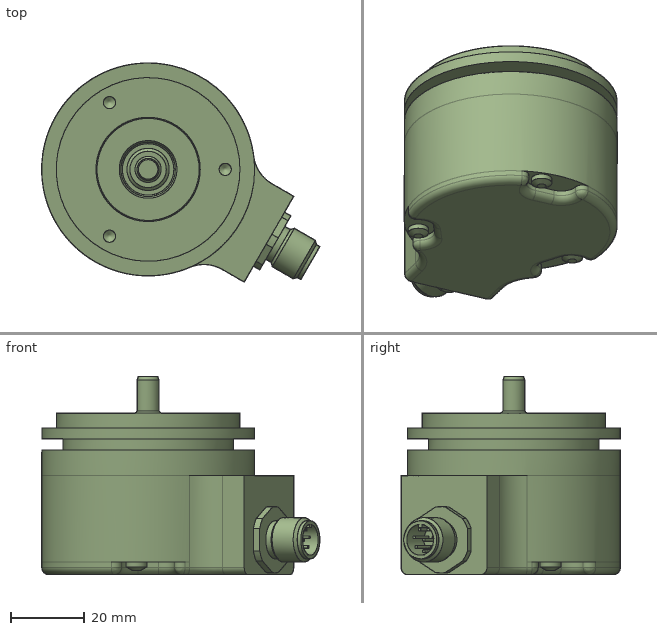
import cadquery as cq
import math

HOUSING_RADIUS = 29.0
HOUSING_TOP = 34.0
BOTTOM_FILLET = 2.0

GROOVE_RADIUS = 23.25
RIM_BOTTOM = 37.0
RIM_TOP = 40.0
COLLAR_RADIUS = 25.0
COLLAR_TOP = 44.0

HOLE_COUNT = 3
HOLE_CIRCLE_RADIUS = 21.0
HOLE_DIAMETER = 3.3
HOLE_DEPTH = 8.0
DRILL_TIP_ANGLE = 118.0

RING_GROOVE_OUTER_RADIUS = 14.2
RING_GROOVE_INNER_RADIUS = 13.9
RING_GROOVE_DEPTH = 0.3

RECESS_MOUTH_RADIUS = 7.85
RECESS_WALL_RADIUS = 7.4
RECESS_WALL_DEPTH = 0.9
RECESS_FLOOR_RADIUS = 7.0
RECESS_DEPTH = 1.2
BOSS_BASE_RADIUS = 5.75
BOSS_TOP_RADIUS = 4.95
BOSS_STEP_HEIGHT = 0.4

SHAFT_RADIUS = 3.0
SHAFT_TOP = 54.0
SHAFT_CHAMFER_WIDTH = 0.35
SHAFT_CHAMFER_HEIGHT = 1.0
SHAFT_FOOT_RADIUS = 3.55
SHAFT_FOOT_HEIGHT = 0.55

BLOCK_ANGLE = -30.0
BLOCK_REACH = 38.0
BLOCK_WIDTH = 27.0
BLOCK_TOP = 27.0
BLOCK_BLEND_RADIUS = 10.0

CONNECTOR_Z = 9.5
NUT_ACROSS_FLATS = 17.0
NUT_CORNER_DIAMETER = 18.1
NUT_END = 40.0
NECK_END = 41.7
SHELL_END = 49.9
TIP_END = 51.0
NECK_RADIUS = 5.2
SHELL_RADIUS = 6.05
SHELL_CHAMFER = 0.8
SOCKET_RADIUS = 4.2
SOCKET_FLOOR = NECK_END
KEY_WIDTH = 1.1
KEY_HEIGHT = 0.9
PIN_RADIUS = 0.4
PIN_CIRCLE_RADIUS = 3.1
PIN_CIRCLE_COUNT = 7
PIN_END = 49.0

POCKET_ANGLES = (-90.0, 30.0, 150.0)
POCKET_HEIGHT = 3.4
POCKET_BACK_RADIUS = 21.0
POCKET_HALF_WIDTH = 7.2
POCKET_CORNER_RADIUS = 4.4
POCKET_MOUTH_RADIUS = 2.1

SCREW_RADIAL_POSITION = 25.4
SCREW_SIDE_OFFSET = -3.15
SCREW_HEAD_RADIUS = 2.8
SCREW_RIM_Z = 2.1
SCREW_FACE_RADIUS = 1.2
SCREW_FACE_Z = 1.2
SCREW_TIP_RADIUS = 1.0
SCREW_TIP_DEPTH = 0.2


def cylinder(radius, bottom, top):
    """Upright cylinder on the Z axis."""
    return cq.Workplane("XY").workplane(offset=bottom).circle(radius).extrude(top - bottom)


def axial_cylinder(radius, start, end):
    """Cylinder along +X at the connector height."""
    return (
        cq.Workplane("YZ", origin=(start, 0, CONNECTOR_Z))
        .circle(radius)
        .extrude(end - start)
    )


def about_z(shape, angle):
    return shape.rotate((0, 0, 0), (0, 0, 1), angle)


def make_block(top):
    """Block along +X whose flanks run into the housing wall through tangent arcs."""
    half_width = BLOCK_WIDTH / 2
    blend_center_y = half_width + BLOCK_BLEND_RADIUS
    blend_center_distance = HOUSING_RADIUS + BLOCK_BLEND_RADIUS
    tangent_angle = math.asin(blend_center_y / blend_center_distance)
    blend_center_x = blend_center_distance * math.cos(tangent_angle)
    wall_x = HOUSING_RADIUS * math.cos(tangent_angle)
    wall_y = HOUSING_RADIUS * math.sin(tangent_angle)
    mid_angle = (tangent_angle + math.pi / 2) / 2
    mid_x = blend_center_x - BLOCK_BLEND_RADIUS * math.cos(mid_angle)
    mid_y = blend_center_y - BLOCK_BLEND_RADIUS * math.sin(mid_angle)
    return (
        cq.Workplane("XY")
        .moveTo(wall_x, wall_y)
        .threePointArc((mid_x, mid_y), (blend_center_x, half_width))
        .lineTo(BLOCK_REACH, half_width)
        .lineTo(BLOCK_REACH, -half_width)
        .lineTo(blend_center_x, -half_width)
        .threePointArc((mid_x, -mid_y), (wall_x, -wall_y))
        .threePointArc((-HOUSING_RADIUS, 0), (wall_x, wall_y))
        .close()
        .extrude(top)
    )


def make_pocket():
    """Pocket cutter opening towards +X, with rounded back corners."""
    length = HOUSING_RADIUS - POCKET_BACK_RADIUS + POCKET_CORNER_RADIUS
    return (
        cq.Workplane("XY")
        .box(length, 2 * POCKET_HALF_WIDTH, POCKET_HEIGHT, centered=(False, True, False))
        .edges("|Z and <X")
        .fillet(POCKET_CORNER_RADIUS)
        .translate((POCKET_BACK_RADIUS, 0, 0))
    )


def make_screw():
    """Screw head hanging from the pocket ceiling, domed as a cone towards its face."""
    return (
        cq.Workplane("XZ")
        .moveTo(0, POCKET_HEIGHT)
        .lineTo(SCREW_HEAD_RADIUS, POCKET_HEIGHT)
        .lineTo(SCREW_HEAD_RADIUS, SCREW_RIM_Z)
        .lineTo(SCREW_FACE_RADIUS, SCREW_FACE_Z)
        .lineTo(0, SCREW_FACE_Z)
        .close()
        .revolve(360, (0, 0, 0), (0, 1, 0))
        .translate((SCREW_RADIAL_POSITION, SCREW_SIDE_OFFSET, 0))
    )


def make_lower_housing():
    """Slab of the housing up to the pocket ceiling, with pockets and rounded bottom edges."""
    slab = make_block(POCKET_HEIGHT)
    for angle in POCKET_ANGLES:
        slab = slab.cut(about_z(make_pocket(), angle - BLOCK_ANGLE))
    mouth_half_angle = math.asin(POCKET_HALF_WIDTH / HOUSING_RADIUS)
    for angle in POCKET_ANGLES:
        for side in (-1, 1):
            mouth_angle = math.radians(angle - BLOCK_ANGLE) + side * mouth_half_angle
            mouth_corner = (
                HOUSING_RADIUS * math.cos(mouth_angle),
                HOUSING_RADIUS * math.sin(mouth_angle),
                POCKET_HEIGHT / 2,
            )
            slab = slab.edges(cq.selectors.NearestToPointSelector(mouth_corner)).fillet(POCKET_MOUTH_RADIUS)
    slab = slab.faces("<Z").edges("not >X").fillet(BOTTOM_FILLET)
    return about_z(slab, BLOCK_ANGLE)


def make_housing():
    upper_block = about_z(make_block(BLOCK_TOP), BLOCK_ANGLE).cut(
        cylinder(2 * BLOCK_REACH, 0, POCKET_HEIGHT)
    )
    return (
        make_lower_housing()
        .union(upper_block)
        .union(cylinder(HOUSING_RADIUS, POCKET_HEIGHT, HOUSING_TOP))
    )


def make_screw_tip_recess():
    """Shallow round recess in the groove's lower ledge, in line with a cover screw."""
    return cylinder(SCREW_TIP_RADIUS, HOUSING_TOP - SCREW_TIP_DEPTH, HOUSING_TOP).translate(
        (SCREW_RADIAL_POSITION, SCREW_SIDE_OFFSET, 0)
    )


def make_flange():
    flange = (
        cylinder(GROOVE_RADIUS, HOUSING_TOP, RIM_BOTTOM)
        .union(cylinder(HOUSING_RADIUS, RIM_BOTTOM, RIM_TOP))
        .union(cylinder(COLLAR_RADIUS, RIM_TOP, COLLAR_TOP))
    )
    ring = cylinder(RING_GROOVE_OUTER_RADIUS, COLLAR_TOP - RING_GROOVE_DEPTH, COLLAR_TOP).cut(
        cylinder(RING_GROOVE_INNER_RADIUS, COLLAR_TOP - RING_GROOVE_DEPTH, COLLAR_TOP)
    )
    flange = flange.cut(ring)
    tip_height = HOLE_DIAMETER / 2 / math.tan(math.radians(DRILL_TIP_ANGLE / 2))
    hole = (
        cq.Workplane("XZ")
        .moveTo(0, COLLAR_TOP)
        .lineTo(HOLE_DIAMETER / 2, COLLAR_TOP)
        .lineTo(HOLE_DIAMETER / 2, COLLAR_TOP - HOLE_DEPTH)
        .lineTo(0, COLLAR_TOP - HOLE_DEPTH - tip_height)
        .close()
        .revolve(360, (0, 0, 0), (0, 1, 0))
        .translate((HOLE_CIRCLE_RADIUS, 0, 0))
    )
    for index in range(HOLE_COUNT):
        flange = flange.cut(about_z(hole, index * 360 / HOLE_COUNT))
    return flange


def make_recess():
    """Ring-shaped cutter between the bored recess wall and the tapered seal boss."""
    floor_z = COLLAR_TOP - RECESS_DEPTH
    return (
        cq.Workplane("XZ")
        .moveTo(BOSS_TOP_RADIUS, COLLAR_TOP)
        .lineTo(BOSS_TOP_RADIUS, COLLAR_TOP - BOSS_STEP_HEIGHT)
        .lineTo(BOSS_BASE_RADIUS, floor_z)
        .lineTo(RECESS_FLOOR_RADIUS, floor_z)
        .lineTo(RECESS_WALL_RADIUS, COLLAR_TOP - RECESS_WALL_DEPTH)
        .lineTo(RECESS_MOUTH_RADIUS, COLLAR_TOP)
        .close()
        .revolve(360, (0, 0, 0), (0, 1, 0))
    )


def make_shaft():
    return (
        cq.Workplane("XZ")
        .moveTo(0, COLLAR_TOP)
        .lineTo(SHAFT_FOOT_RADIUS, COLLAR_TOP)
        .lineTo(SHAFT_RADIUS, COLLAR_TOP + SHAFT_FOOT_HEIGHT)
        .lineTo(SHAFT_RADIUS, SHAFT_TOP - SHAFT_CHAMFER_HEIGHT)
        .lineTo(SHAFT_RADIUS - SHAFT_CHAMFER_WIDTH, SHAFT_TOP)
        .lineTo(0, SHAFT_TOP)
        .close()
        .revolve(360, (0, 0, 0), (0, 1, 0))
    )


def make_connector():
    """Eight-pin plug connector pointing along +X."""
    nut_corner_to_corner = NUT_ACROSS_FLATS / math.cos(math.pi / 6)
    nut = (
        cq.Workplane("YZ", origin=(BLOCK_REACH, 0, CONNECTOR_Z))
        .transformed(rotate=(0, 0, 90))
        .polygon(6, nut_corner_to_corner)
        .extrude(NUT_END - BLOCK_REACH)
        .intersect(axial_cylinder(NUT_CORNER_DIAMETER / 2, BLOCK_REACH, NUT_END))
    )
    shell = axial_cylinder(SHELL_RADIUS, NECK_END, SHELL_END).edges().chamfer(SHELL_CHAMFER)
    connector = (
        nut.union(axial_cylinder(NECK_RADIUS, NUT_END, TIP_END))
        .union(shell)
        .cut(axial_cylinder(SOCKET_RADIUS, SOCKET_FLOOR, TIP_END))
    )
    key_length = TIP_END - SOCKET_FLOOR
    key_bar_height = KEY_HEIGHT + NECK_RADIUS - SOCKET_RADIUS
    key = (
        cq.Workplane("XY")
        .box(key_length, KEY_WIDTH, key_bar_height, centered=(False, True, False))
        .translate((SOCKET_FLOOR, 0, CONNECTOR_Z + SOCKET_RADIUS - KEY_HEIGHT))
        .intersect(axial_cylinder(NECK_RADIUS, SOCKET_FLOOR, TIP_END))
    )
    connector = connector.union(key)
    pin = axial_cylinder(PIN_RADIUS, SOCKET_FLOOR, PIN_END)
    connector = connector.union(pin)
    for index in range(PIN_CIRCLE_COUNT):
        angle = math.radians(index * 360 / PIN_CIRCLE_COUNT - 90)
        offset = (0, PIN_CIRCLE_RADIUS * math.cos(angle), PIN_CIRCLE_RADIUS * math.sin(angle))
        connector = connector.union(pin.translate(offset))
    return connector


result = make_housing().union(make_flange()).cut(make_recess()).union(make_shaft())
for pocket_angle in POCKET_ANGLES:
    result = result.cut(about_z(make_screw_tip_recess(), pocket_angle))
    result = result.union(about_z(make_screw(), pocket_angle))
result = result.union(about_z(make_connector(), BLOCK_ANGLE))